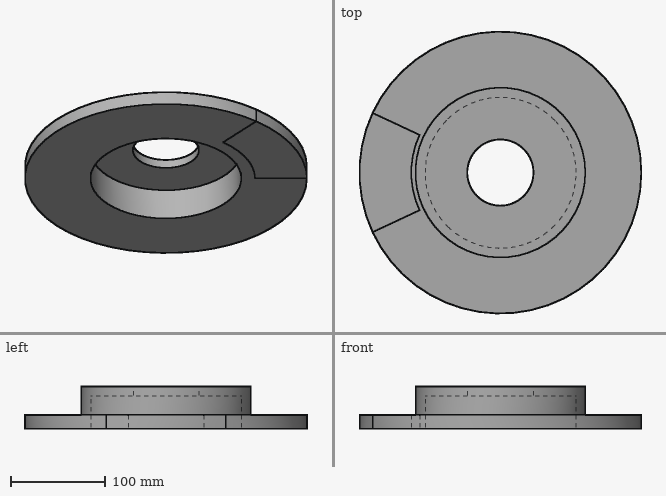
import cadquery as cq
import math

DISC_DIAMETER = 299.0
DISC_THICKNESS = 15.0
HAT_DIAMETER = 180.0
TOTAL_HEIGHT = 45.0
BORE_DIAMETER = 70.0

CAVITY_DIAMETER = 160.0
HAT_WALL = (HAT_DIAMETER - CAVITY_DIAMETER) / 2
CAVITY_DEPTH = TOTAL_HEIGHT - HAT_WALL

PAD_INNER_RADIUS = 94.5
PAD_ANGLE = 50.0


def ring_sector(inner_radius, outer_radius, angle, height):
    """Annular sector centred on the -X axis, standing on Z = 0."""
    half_angle = math.radians(angle / 2)

    def point(radius, offset):
        return (-radius * math.cos(offset), radius * math.sin(offset))

    return (
        cq.Workplane("XY")
        .moveTo(*point(inner_radius, -half_angle))
        .lineTo(*point(outer_radius, -half_angle))
        .threePointArc(point(outer_radius, 0), point(outer_radius, half_angle))
        .lineTo(*point(inner_radius, half_angle))
        .threePointArc(point(inner_radius, 0), point(inner_radius, -half_angle))
        .close()
        .extrude(height)
    )


def make_pad():
    """Segment that fills the rim gap through the full disc thickness."""
    return ring_sector(PAD_INNER_RADIUS, DISC_DIAMETER / 2, PAD_ANGLE, DISC_THICKNESS)


def make_rotor(pad):
    """Flat disc with a hollow hat, a central bore and a gap for the pad."""
    disc = cq.Workplane("XY").circle(DISC_DIAMETER / 2).extrude(DISC_THICKNESS)
    hat = cq.Workplane("XY").circle(HAT_DIAMETER / 2).extrude(TOTAL_HEIGHT)
    cavity = cq.Workplane("XY").circle(CAVITY_DIAMETER / 2).extrude(CAVITY_DEPTH)
    bore = cq.Workplane("XY").circle(BORE_DIAMETER / 2).extrude(TOTAL_HEIGHT)
    return disc.union(hat).cut(cavity).cut(bore).cut(pad)


pad = make_pad()
rotor = make_rotor(pad)

result = cq.Compound.makeCompound([rotor.val(), pad.val()])